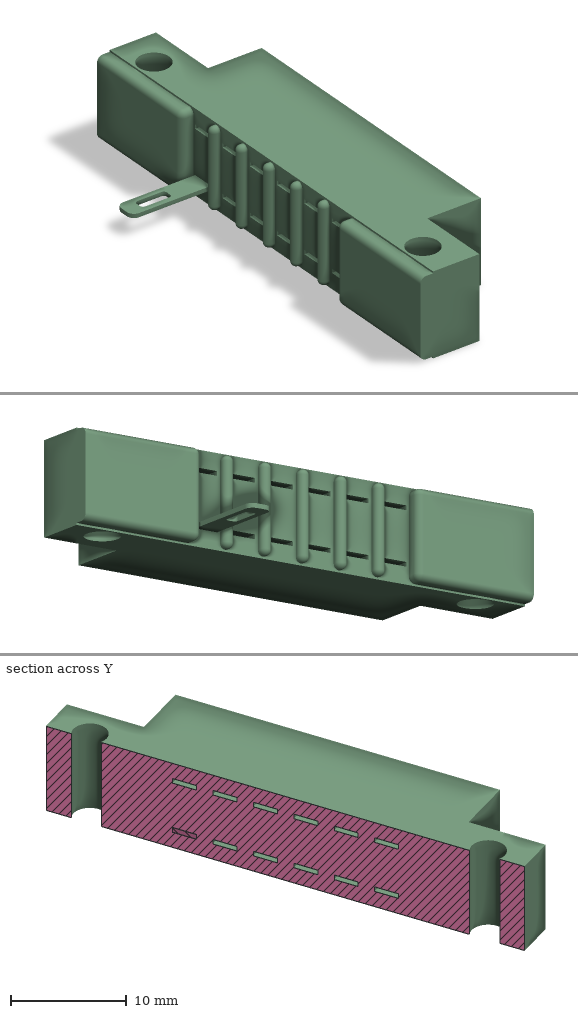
import cadquery as cq

length = 46.8
height = 8.7
back_y = 10.7

ear_back_y = 4.95
center_block_length = 31.72
mounting_hole_diameter = 3.25
mounting_hole_x = 19.45
mounting_hole_y = 1.82

raised_inset = 0.2
raised_height = height - 2 * raised_inset
pad_gap = 22.55
pad_projection = 1.35
pad_fillet = 0.6
pad_length = (length - pad_gap) / 2
rib_count = 5
rib_span = 15.8
rib_width = 1.05
rib_projection = 0.8
rib_crest_flat = 0.02
rib_fillet = (rib_width - rib_crest_flat) / 2

contact_pitch = rib_span / (rib_count - 1)
slot_columns = rib_count + 1
slot_width = 2.3
slot_thickness = 0.4
row_spacing = 5.05

total_depth = 19.2
contact_tip_y = back_y - total_depth
contact_tip_fillet = 0.75
eyelet_width = 1.1
eyelet_length = 3.25
eyelet_fillet = 0.35
eyelet_center_y = -5.35


def centered_positions(count, pitch):
    """Evenly spaced coordinates, symmetric about zero."""
    return [(i - (count - 1) / 2) * pitch for i in range(count)]


rib_positions = centered_positions(rib_count, contact_pitch)
column_positions = centered_positions(slot_columns, contact_pitch)
row_positions = centered_positions(2, row_spacing)


def spanning_box(x_center, x_size, y_front, y_back, z_center, z_size):
    """Box between two Y planes, centred on the given X and Z."""
    y_center = (y_front + y_back) / 2
    return cq.Workplane("XY", origin=(x_center, y_center, z_center)).box(x_size, y_back - y_front, z_size)


def make_pad(side):
    """Raised end pad, rounded everywhere but at its outer end; side is -1 or +1."""
    x_center = side * (length - pad_length) / 2
    inner_face = "<X" if side > 0 else ">X"
    pad = spanning_box(x_center, pad_length, -pad_projection, 0, 0, raised_height)
    inner_edges = pad.faces(inner_face).edges("not >Y")
    front_edges = pad.faces("<Y").edges("|X")
    return pad.newObject(inner_edges.vals() + front_edges.vals()).fillet(pad_fillet)


def make_rib(x_center):
    """Upright rib between neighbouring slots, with rounded sides, front and ends."""
    rib = spanning_box(x_center, rib_width, -rib_projection, 0, 0, raised_height)
    return rib.edges("not >Y").fillet(rib_fillet)


def make_slot(x_center, z_center):
    """Volume of a contact slot running from the front face to the back face."""
    return spanning_box(x_center, slot_width, 0, back_y, z_center, slot_thickness)


def make_housing():
    housing = spanning_box(0, length, 0, ear_back_y, 0, height)
    housing = housing.union(spanning_box(0, center_block_length, 0, back_y, 0, height))

    for side in (-1, 1):
        housing = housing.union(make_pad(side))
    for x in rib_positions:
        housing = housing.union(make_rib(x))

    for x in column_positions:
        for z in row_positions:
            housing = housing.cut(make_slot(x, z))

    holes = (
        cq.Workplane("XY", origin=(0, 0, -height / 2))
        .pushPoints([(-mounting_hole_x, mounting_hole_y), (mounting_hole_x, mounting_hole_y)])
        .circle(mounting_hole_diameter / 2)
        .extrude(height)
    )
    return housing.cut(holes)


def make_contact():
    """Flat contact with a rounded solder tip and an elongated wire eyelet."""
    x = column_positions[0]
    z = row_positions[0]
    blade = spanning_box(x, slot_width, contact_tip_y, back_y, z, slot_thickness)
    blade = blade.faces("<Y").edges("|Z").fillet(contact_tip_fillet)

    eyelet_front = eyelet_center_y - eyelet_length / 2
    eyelet_back = eyelet_center_y + eyelet_length / 2
    eyelet = spanning_box(x, eyelet_width, eyelet_front, eyelet_back, z, slot_thickness)
    return blade.cut(eyelet.edges("|Z").fillet(eyelet_fillet))


housing = make_housing()
contact = make_contact()

result = cq.Compound.makeCompound([housing.solids().val(), contact.solids().val()])